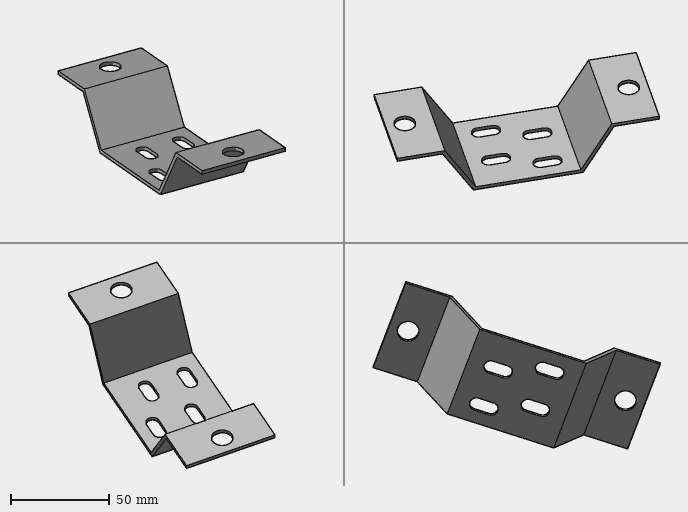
import cadquery as cq
import math

length = 137.0
width = 50.0
height = 30.0
thickness = 2.0

web_angle = 60.0
flange_underside_length = 23.7

hole_diameter = 11.0
hole_end_distance = 10.0

slot_length = 15.0
slot_width = 7.0
slot_offset_x = 12.5
slot_near_y = 7.0
slot_far_y = 15.0

half_length = length / 2
miter_shift = thickness * math.tan(math.radians(web_angle / 2))
web_run = (height - thickness) / math.tan(math.radians(web_angle))
flange_bottom_x = half_length - flange_underside_length
flange_top_x = flange_bottom_x - miter_shift
floor_top_x = flange_top_x - web_run
floor_bottom_x = flange_bottom_x - web_run


def bent_strip():
    """Hat-shaped strip, centred on the width, with its floor resting on Z = 0."""
    right_half = [
        (floor_bottom_x, 0),
        (flange_bottom_x, height - thickness),
        (half_length, height - thickness),
        (half_length, height),
        (flange_top_x, height),
        (floor_top_x, thickness),
    ]
    left_half = [(-x, z) for x, z in reversed(right_half)]
    return cq.Workplane("XZ").polyline(right_half + left_half).close().extrude(width / 2, both=True)


def flange_holes():
    hole_x = half_length - hole_end_distance
    return (
        cq.Workplane("XY")
        .pushPoints([(-hole_x, 0), (hole_x, 0)])
        .circle(hole_diameter / 2)
        .extrude(height)
    )


def floor_slots():
    centers = [
        (-slot_offset_x, slot_far_y),
        (-slot_offset_x, -slot_near_y),
        (slot_offset_x, slot_near_y),
        (slot_offset_x, -slot_far_y),
    ]
    return cq.Workplane("XY").pushPoints(centers).slot2D(slot_length, slot_width).extrude(thickness)


result = bent_strip().cut(flange_holes()).cut(floor_slots())